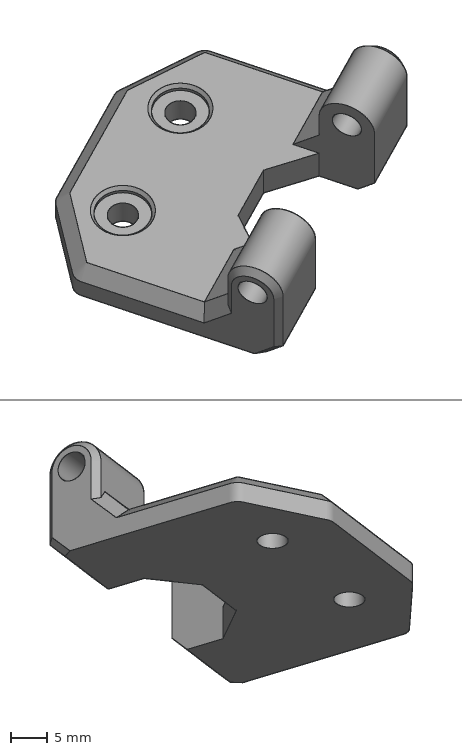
import cadquery as cq

length = 39.2
width = 45.0
height = 17.4

plate_thickness = 5.0
plate_chamfer = 2.0
corner_radius = 2.02
nose_half_width = 10.6
shoulder_x = 8.05

lug_radius = 4.2
lug_chamfer = 1.0
lug_left = length - 2 * lug_radius
lug_axis_x = length - lug_radius
lug_axis_z = height - lug_radius
pin_diameter = 4.4
heel_cut = 2.5
ramp_top_z = 8.95
ramp_start_x = lug_left - (ramp_top_z - plate_thickness)

gap_half_width = 10.25
notch_half_width = 4.4
notch_x = lug_left - (gap_half_width - notch_half_width)

screw_x = 10.0
screw_half_spacing = 10.0
screw_diameter = 4.3
recess_diameter = 8.0
recess_depth = 1.0
recess_chamfer = 0.5


def make_plate():
    """Plate with ramps rising into the lugs, chamfered along its top outer edges."""
    half = width / 2
    ramp_end_z = ramp_top_z + lug_axis_x - lug_left
    plate = (
        cq.Workplane("XY")
        .moveTo(0, -nose_half_width)
        .lineTo(shoulder_x, -half)
        .lineTo(lug_axis_x, -half)
        .lineTo(lug_axis_x, half)
        .lineTo(shoulder_x, half)
        .lineTo(0, nose_half_width)
        .close()
        .extrude(ramp_end_z)
    )
    plate = plate.edges("|Z").edges("not >X").fillet(corner_radius)
    above_plate = (
        cq.Workplane("XZ")
        .moveTo(0, plate_thickness)
        .lineTo(ramp_start_x, plate_thickness)
        .lineTo(lug_axis_x, ramp_end_z)
        .lineTo(lug_axis_x, height)
        .lineTo(0, height)
        .close()
        .extrude(width, both=True)
    )
    plate = plate.cut(above_plate)
    nose_edge = plate.faces("<X").edges(">Z")
    sloped_or_level = plate.faces("<Y or >Y").edges("not (|Z or <Z)")
    return plate.newObject(nose_edge.vals() + sloped_or_level.vals()).chamfer(plate_chamfer)


def make_opening():
    """Space between the lugs: a 45 degree notch in the plate and a clear span above it."""
    notch = (
        cq.Workplane("XY")
        .moveTo(notch_x, -notch_half_width)
        .lineTo(lug_left, -gap_half_width)
        .lineTo(length, -gap_half_width)
        .lineTo(length, gap_half_width)
        .lineTo(lug_left, gap_half_width)
        .lineTo(notch_x, notch_half_width)
        .close()
        .extrude(height)
    )
    span_above = cq.Workplane("XY").box(
        length, 2 * gap_half_width, height, centered=(False, True, False)
    ).translate((0, 0, plate_thickness))
    return notch.union(span_above)


def make_lug():
    """Lug on the -Y side, with its outer rim chamfered except along the underside."""
    lug = (
        cq.Workplane("XZ", origin=(0, -gap_half_width, 0))
        .moveTo(lug_left, 0)
        .lineTo(length - heel_cut, 0)
        .lineTo(length, heel_cut)
        .lineTo(length, lug_axis_z)
        .threePointArc((lug_axis_x, height), (lug_left, lug_axis_z))
        .close()
        .extrude(width / 2 - gap_half_width)
    )
    return lug.faces("<Y").edges("not <Z").chamfer(lug_chamfer)


def make_screw_hole(y):
    """Through hole with a flat recess and a chamfered rim."""
    recess_radius = recess_diameter / 2
    hole_radius = screw_diameter / 2
    return (
        cq.Workplane("XZ")
        .moveTo(0, 0)
        .lineTo(hole_radius, 0)
        .lineTo(hole_radius, plate_thickness - recess_depth)
        .lineTo(recess_radius, plate_thickness - recess_depth)
        .lineTo(recess_radius, plate_thickness - recess_chamfer)
        .lineTo(recess_radius + recess_chamfer, plate_thickness)
        .lineTo(0, plate_thickness)
        .close()
        .revolve(360, (0, 0, 0), (0, 1, 0))
        .translate((screw_x, y, 0))
    )


lug = make_lug()
pin_hole = (
    cq.Workplane("XZ")
    .center(lug_axis_x, lug_axis_z)
    .circle(pin_diameter / 2)
    .extrude(width, both=True)
)

result = make_plate().cut(make_opening()).union(lug).union(lug.mirror("XZ")).cut(pin_hole)
for side in (-1, 1):
    result = result.cut(make_screw_hole(side * screw_half_spacing))